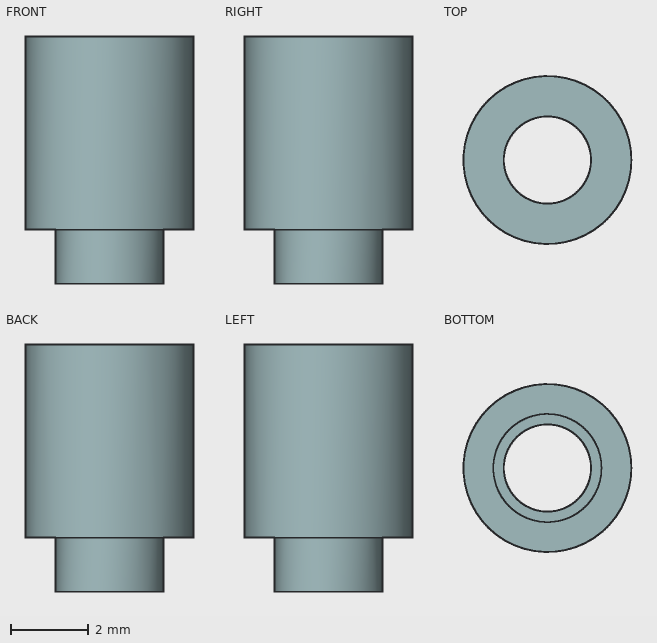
import cadquery as cq

body_diameter = 4.35
body_height = 5.0
shank_diameter = 2.8
shank_length = 1.4
bore_diameter = 2.25

total_height = body_height + shank_length


def cylinder(diameter, height, base_z):
    """Cylinder on the Z axis, rising from base_z."""
    return cq.Workplane("XY").workplane(offset=base_z).circle(diameter / 2).extrude(height)


body = cylinder(body_diameter, body_height, 0)
shank = cylinder(shank_diameter, shank_length, -shank_length)

bore = cylinder(bore_diameter, total_height, -shank_length)

result = body.union(shank).cut(bore)